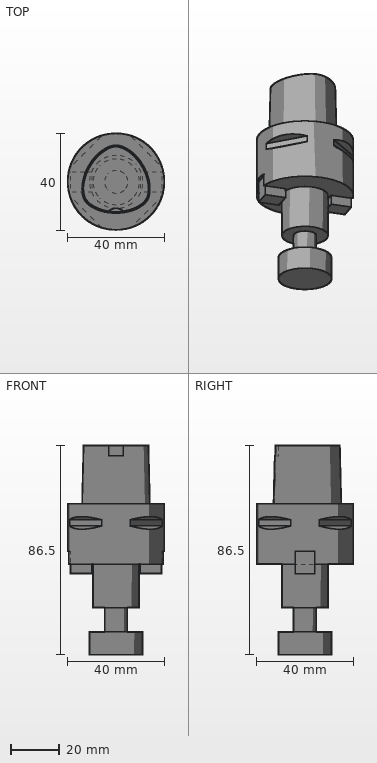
import cadquery as cq
import math


SHANK_LENGTH = 24.0
SHANK_TAPER = 1 / 20
SHANK_MEAN_DIAMETER = 28.1
SHANK_ECCENTRICITY = 1.0
CORNER_COUNT = 3
FIRST_CORNER_ANGLE = 90.0
SPANS_PER_FACE = 6

NOTCH_RADIUS = 4.0
NOTCH_INNER_Y = -11.0
NOTCH_DEPTH = 4.25

BODY_DIAMETER = 40.0
BODY_RADIUS = BODY_DIAMETER / 2
BODY_LENGTH = 25.0

GROOVE_COUNT = 4
GROOVE_FIRST_ANGLE = 45.0
GROOVE_CENTRE_DEPTH = 8.0
GROOVE_FLOOR_WIDTH = 2.5
GROOVE_FLOOR_REACH = 17.65
GROOVE_FLANK_ANGLE = 30.0

KEY_WIDTH = 8.2
KEY_INNER_REACH = 10.0
KEY_OUTER_REACH = 18.9
KEY_SEAT_DEPTH = 5.2
KEY_PROJECTION = 4.0

PILOT_DIAMETER = 19.05
PILOT_LENGTH = 18.0
SCREW_DIAMETER = 9.5
SCREW_EXPOSED_LENGTH = 10.0
HEAD_DIAMETER = 22.0
HEAD_LENGTH = 9.5

SHANK_TOP_Z = SHANK_LENGTH
BODY_BOTTOM_Z = -BODY_LENGTH
PILOT_BOTTOM_Z = BODY_BOTTOM_Z - PILOT_LENGTH
SCREW_BOTTOM_Z = PILOT_BOTTOM_Z - SCREW_EXPOSED_LENGTH


def downward_cylinder(diameter, top_z, length):
    return cq.Workplane("XY").workplane(offset=top_z).circle(diameter / 2).extrude(-length)


def shank_point(mean_diameter, normal_angle):
    """Outline point whose outward normal is at an angle from the first corner."""
    lobe_phase = CORNER_COUNT * normal_angle
    reach = mean_diameter / 2 + SHANK_ECCENTRICITY * math.cos(lobe_phase)
    sideways = -CORNER_COUNT * SHANK_ECCENTRICITY * math.sin(lobe_phase)
    direction = math.radians(FIRST_CORNER_ANGLE) + normal_angle
    return cq.Vector(
        reach * math.cos(direction) - sideways * math.sin(direction),
        reach * math.sin(direction) + sideways * math.cos(direction),
    )


def shank_tangent(normal_angle):
    direction = math.radians(FIRST_CORNER_ANGLE) + normal_angle
    return cq.Vector(-math.sin(direction), math.cos(direction))


def shank_outline(z):
    """Closed wire at height z, alternating corner and side curves."""
    mean_diameter = SHANK_MEAN_DIAMETER - SHANK_TAPER * z
    face_count = 2 * CORNER_COUNT
    face_angle = 2 * math.pi / face_count
    edges = []
    for face in range(face_count):
        start_angle = (face - 0.5) * face_angle
        points = [
            shank_point(mean_diameter, start_angle + face_angle * step / SPANS_PER_FACE)
            for step in range(SPANS_PER_FACE + 1)
        ]
        end_tangents = [shank_tangent(start_angle), shank_tangent(start_angle + face_angle)]
        edges.append(cq.Edge.makeSpline(points, tangents=end_tangents))
    return cq.Wire.assembleEdges(edges).translate(cq.Vector(0, 0, z))


def shank():
    """Three-cornered shank tapering upwards."""
    outlines = [shank_outline(0), shank_outline(SHANK_TOP_Z)]
    return cq.Workplane(cq.Solid.makeLoft(outlines, True))


def notch():
    return downward_cylinder(2 * NOTCH_RADIUS, SHANK_TOP_Z, NOTCH_DEPTH).translate(
        (0, NOTCH_INNER_Y - NOTCH_RADIUS, 0)
    )


def gripper_groove(angle):
    """Trapezoidal bar that cuts a chord across the body side."""
    mouth_half = GROOVE_FLOOR_WIDTH / 2 + (BODY_RADIUS - GROOVE_FLOOR_REACH) * math.tan(
        math.radians(GROOVE_FLANK_ANGLE)
    )
    floor_half = GROOVE_FLOOR_WIDTH / 2
    return (
        cq.Workplane("XZ")
        .moveTo(GROOVE_FLOOR_REACH, -floor_half)
        .lineTo(BODY_RADIUS, -mouth_half)
        .lineTo(BODY_RADIUS, mouth_half)
        .lineTo(GROOVE_FLOOR_REACH, floor_half)
        .close()
        .extrude(BODY_RADIUS, both=True)
        .translate((0, 0, -GROOVE_CENTRE_DEPTH))
        .rotate((0, 0, 0), (0, 0, 1), angle)
    )


def radial_block(side, inner, outer, bottom_z, top_z):
    """Key-wide block on the +X (side = 1) or -X (side = -1) side."""
    return cq.Workplane("XY").box(outer - inner, KEY_WIDTH, top_z - bottom_z).translate(
        (side * (inner + outer) / 2, 0, (bottom_z + top_z) / 2)
    )


def body():
    flange = downward_cylinder(BODY_DIAMETER, 0, BODY_LENGTH)
    for index in range(GROOVE_COUNT):
        flange = flange.cut(gripper_groove(GROOVE_FIRST_ANGLE + index * 360.0 / GROOVE_COUNT))
    seat_top_z = BODY_BOTTOM_Z + KEY_SEAT_DEPTH
    key_bottom_z = BODY_BOTTOM_Z - KEY_PROJECTION
    for side in (-1, 1):
        seat_end = radial_block(side, KEY_OUTER_REACH, BODY_RADIUS, BODY_BOTTOM_Z, seat_top_z)
        key = radial_block(side, KEY_INNER_REACH, KEY_OUTER_REACH, key_bottom_z, seat_top_z)
        flange = flange.cut(seat_end).union(key)
    return flange


def pilot_and_screw():
    pilot = downward_cylinder(PILOT_DIAMETER, BODY_BOTTOM_Z, PILOT_LENGTH)
    screw = downward_cylinder(SCREW_DIAMETER, PILOT_BOTTOM_Z, SCREW_EXPOSED_LENGTH)
    head = downward_cylinder(HEAD_DIAMETER, SCREW_BOTTOM_Z, HEAD_LENGTH)
    return pilot.union(screw).union(head)


result = shank().cut(notch()).union(body()).union(pilot_and_screw())